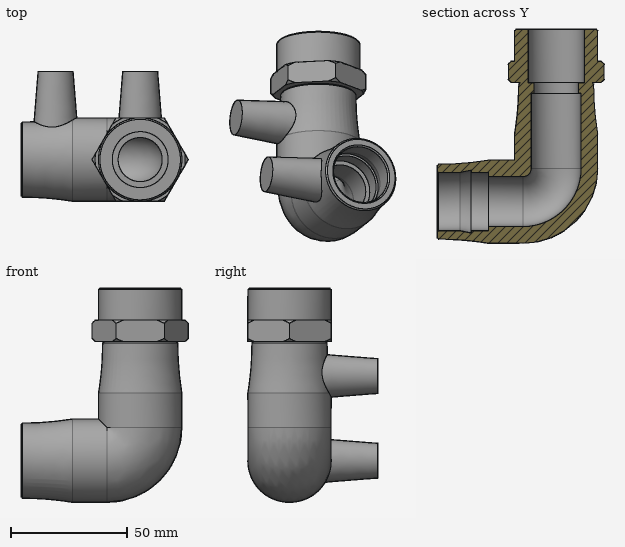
import cadquery as cq
import math

pipe_diameter = 36.0
pipe_radius = pipe_diameter / 2
bend_radius = 14.4
straight_length = 14.8
leg_length = 51.3
spigot_end_radius = 16.2
spigot_chamfer = 0.6

elbow_bore_radius = 21.3 / 2
socket_radius = 25.0 / 2
socket_chamfer = 0.6
flare_start_depth = 10.0
flare_end_depth = 14.7
flare_radius = 13.5
fitting_bore_radius = 24.1 / 2
throat_radius = 19.0 / 2
throat_length = 4.6

hex_across_flats = pipe_diameter
hex_across_corners = hex_across_flats / math.cos(math.pi / 6)
hex_height = 9.2
hex_chamfer = 1.4
fitting_radius = pipe_radius
fitting_chamfer = 0.6
fitting_top = 74.3

stub_end_y = 38.0
stub_end_radius = 7.6
stub_root_radius = 10.6
stub_distance = 36.5


def rod(radius, start, end):
    """Cylinder on the Z axis between two heights."""
    return cq.Workplane("XY").workplane(offset=start).circle(radius).extrude(end - start)


def cone(start_radius, end_radius, start, end):
    """Solid cone on the Z axis between two heights."""
    return cq.Workplane(
        cq.Solid.makeCone(start_radius, end_radius, end - start, cq.Vector(0, 0, start))
    )


def to_side_leg(body):
    """Turn a body lying on the +Z axis onto the -X axis."""
    return body.rotate((0, 0, 0), (0, 1, 0), -90)


def bend(radius):
    """Quarter turn joining the legs, with its section cut off at the bend axis."""
    section = cq.Workplane("XY").workplane(offset=bend_radius)
    if radius > bend_radius:
        half_width = math.sqrt(radius**2 - bend_radius**2)
        section = (
            section.moveTo(-bend_radius, -half_width)
            .threePointArc((radius, 0), (-bend_radius, half_width))
            .close()
        )
    else:
        section = section.circle(radius)
    return section.revolve(90, (-bend_radius, 0, 0), (-bend_radius, 1, 0))


def outer_leg():
    """Straight pipe and a spigot that narrows in an arc parallel to the axis at its end."""
    spigot_start = bend_radius + straight_length
    spigot_end = leg_length - spigot_chamfer
    length = spigot_end - spigot_start
    narrowing = pipe_radius - spigot_end_radius
    arc_radius = (length**2 + narrowing**2) / (2 * narrowing)
    half_length = length / 2
    middle_rise = arc_radius - math.sqrt(arc_radius**2 - half_length**2)
    return (
        cq.Workplane("XZ")
        .moveTo(0, bend_radius)
        .lineTo(pipe_radius, bend_radius)
        .lineTo(pipe_radius, spigot_start)
        .threePointArc(
            (spigot_end_radius + middle_rise, spigot_start + half_length),
            (spigot_end_radius, spigot_end),
        )
        .lineTo(spigot_end_radius - spigot_chamfer, leg_length)
        .lineTo(0, leg_length)
        .close()
        .revolve(360, (0, 0, 0), (0, 1, 0))
    )


def fitting():
    """Hexagon with chamfered corners below a round collar."""
    hexagon = (
        cq.Workplane("XY")
        .workplane(offset=leg_length)
        .polygon(6, hex_across_corners)
        .extrude(hex_height)
    )
    corner_trim = rod(hex_across_corners / 2, leg_length, leg_length + hex_height)
    corner_trim = corner_trim.edges("%CIRCLE").chamfer(hex_chamfer)
    collar = rod(fitting_radius, leg_length + hex_height, fitting_top)
    collar = collar.faces(">Z").chamfer(fitting_chamfer)
    return hexagon.intersect(corner_trim).union(collar)


def stub(x, z):
    """Tapered terminal stub starting on the pipe axis."""
    body = cone(stub_root_radius, stub_end_radius, 0, stub_end_y)
    return body.rotate((0, 0, 0), (1, 0, 0), -90).translate((x, 0, z))


def bores():
    """Bend bore, socket with a flared groove, and fitting bore with its throat."""
    socket_floor = bend_radius + straight_length
    flare_start = leg_length - flare_start_depth
    flare_end = leg_length - flare_end_depth
    mouth_start = leg_length - socket_chamfer
    side_bore = rod(elbow_bore_radius, bend_radius, socket_floor)
    side_bore = side_bore.union(
        cone(flare_radius, socket_radius, flare_end, flare_start)
    )
    side_bore = side_bore.union(rod(socket_radius, socket_floor, mouth_start))
    side_bore = side_bore.union(
        cone(socket_radius, socket_radius + socket_chamfer, mouth_start, leg_length)
    )
    upright_bore = rod(elbow_bore_radius, bend_radius, leg_length - throat_length)
    upright_bore = upright_bore.union(rod(throat_radius, leg_length - throat_length, leg_length))
    upright_bore = upright_bore.union(rod(fitting_bore_radius, leg_length, fitting_top))
    return bend(elbow_bore_radius).union(to_side_leg(side_bore)).union(upright_bore)


body = bend(pipe_radius).union(outer_leg()).union(to_side_leg(outer_leg())).union(fitting())
body = body.union(stub(-stub_distance, 0)).union(stub(0, stub_distance))
result = body.cut(bores())